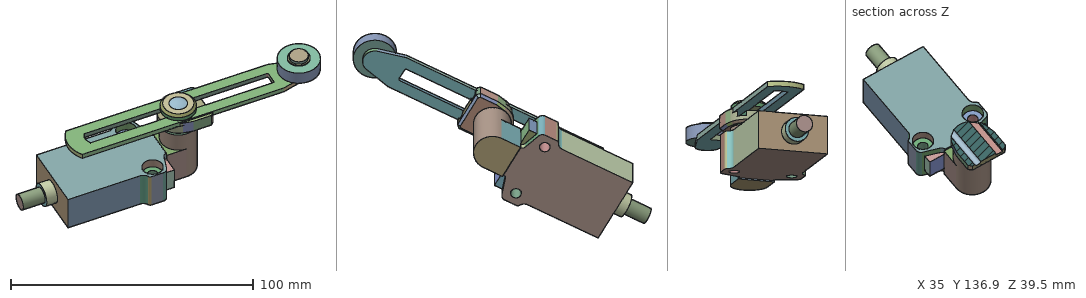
import cadquery as cq
import math


overall_length = 136.9

body_width = 30.0
body_back_y = -9.0
body_front_y = -57.8
body_bottom_z = 0.5
body_top_z = 16.5
body_mid_z = (body_bottom_z + body_top_z) / 2
spine_width = 14.8
spine_root_y = -10.3
spine_round = 1.6
tongue_height = 9.9

ear_span = 35.0
ear_back_y = -13.5
ear_front_y = -21.5
ear_root_y = -22.7
ear_back_round = 2.3
ear_front_round = 1.2
ear_root_round = 3.1
mount_hole_diameter = 4.4
mount_bore_diameter = 8.8
mount_bore_depth = 4.0
mount_x = 12.5
mount_y = -17.8

gland_diameter = 10.1
gland_end_y = -62.7
cable_diameter = 7.0
cable_end_y = -72.7

head_diameter = 15.7
neck_top_z = 15.7
head_chamfer = 0.8

clamp_bottom_z = 25.0
clamp_top_z = 31.6
clamp_width = 18.9
clamp_back_y = 12.0
clamp_flank_y = 2.5
clamp_nose_radius = 8.8
clamp_corner = 1.4
channel_clearance = 0.3
clamp_edge = 1.1
groove_width = 3.1
groove_depth = 2.0
groove_x = 5.3
round_groove_drop = 0.4

lever_width = 15.7
lever_thickness = 2.2
lever_bottom_z = 29.8
lever_top_z = lever_bottom_z + lever_thickness
lever_taper_y = 44.8
lever_tip_radius = 5.0
lever_heel_y = -47.8
lever_heel_sag = 2.6
slot_width = 6.0
slot_back_y = 42.6
slot_back_round = 0.7
slot_front_y = -41.6
slot_front_sag = 1.0

screw_diameter = 15.0
screw_top_z = 34.9
screw_chamfer = 1.1
dome_diameter = 7.7
dome_height = 0.8

roller_diameter = 18.0
roller_y = cable_end_y + overall_length - roller_diameter / 2
roller_top_z = 37.8
pin_diameter = 8.0
pin_collar_diameter = 9.5
pin_collar_height = 0.4
pin_top_z = 39.5


def cylinder(diameter, bottom_z, top_z, y=0):
    base = cq.Workplane("XY", origin=(0, y, bottom_z))
    return base.circle(diameter / 2).extrude(top_z - bottom_z)


def block(width, y_min, y_max, z_min, z_max):
    base = cq.Workplane("XY", origin=(0, (y_min + y_max) / 2, z_min))
    return base.rect(width, y_max - y_min).extrude(z_max - z_min)


def tangent_point(corner_x, corner_y, radius, centre_y, toward):
    """Point where a line from the corner touches a circle centred on X = 0.

    toward picks the contact point: +1 turns counterclockwise from the corner, -1 clockwise.
    """
    rise = corner_y - centre_y
    spread = math.acos(radius / math.hypot(corner_x, rise))
    angle = math.atan2(rise, corner_x) + toward * spread
    return radius * math.cos(angle), centre_y + radius * math.sin(angle)


def make_housing():
    half = body_width / 2
    ear = ear_span / 2
    spine = spine_width / 2
    outline = [
        (-half, body_front_y),
        (half, body_front_y),
        (half, ear_root_y),
        (ear, ear_front_y),
        (ear, ear_back_y),
        (spine, spine_root_y),
        (spine, body_back_y),
        (-spine, body_back_y),
        (-spine, spine_root_y),
        (-ear, ear_back_y),
        (-ear, ear_front_y),
        (-half, ear_root_y),
    ]
    base = cq.Workplane("XY", origin=(0, 0, body_bottom_z))
    shell = base.polyline(outline).close().extrude(body_top_z - body_bottom_z)
    rounded_corners = [
        (half, ear_root_y, ear_root_round),
        (ear, ear_front_y, ear_front_round),
        (ear, ear_back_y, ear_back_round),
        (spine, spine_root_y, spine_round),
    ]
    for x, y, radius in rounded_corners:
        for side in (-1, 1):
            corner = cq.selectors.NearestToPointSelector((side * x, y, body_mid_z))
            shell = shell.edges("|Z").edges(corner).fillet(radius)
    tongue_low = body_mid_z - tongue_height / 2
    tongue = block(body_width, mount_y, body_back_y, tongue_low, tongue_low + tongue_height)
    return (
        shell.union(tongue)
        .faces(">Z")
        .workplane(origin=(0, 0, body_top_z))
        .pushPoints([(-mount_x, mount_y), (mount_x, mount_y)])
        .cboreHole(mount_hole_diameter, mount_bore_diameter, mount_bore_depth)
    )


def make_cable_outlet():
    def rod(diameter, end_y):
        start = cq.Workplane("XZ", origin=(0, body_front_y, body_mid_z))
        return start.circle(diameter / 2).extrude(body_front_y - end_y)

    return rod(gland_diameter, gland_end_y).union(rod(cable_diameter, cable_end_y))


def make_head():
    column = cylinder(head_diameter, 0, clamp_bottom_z).faces(">Z").chamfer(head_chamfer)
    neck = block(head_diameter, body_back_y, 0, 0, neck_top_z)
    return column.union(neck)


def make_clamp():
    half = clamp_width / 2
    nose_x, nose_y = tangent_point(half, clamp_flank_y, clamp_nose_radius, 0, -1)
    clamp = (
        cq.Workplane("XY", origin=(0, 0, clamp_bottom_z))
        .moveTo(half, clamp_back_y)
        .lineTo(half, clamp_flank_y)
        .lineTo(nose_x, nose_y)
        .threePointArc((0, -clamp_nose_radius), (-nose_x, nose_y))
        .lineTo(-half, clamp_flank_y)
        .lineTo(-half, clamp_back_y)
        .close()
        .extrude(clamp_top_z - clamp_bottom_z)
        .edges("|Z and >Y")
        .chamfer(clamp_corner)
        .faces("<Z")
        .chamfer(clamp_edge)
    )
    cut_reach = clamp_width
    channel_width = lever_width + 2 * channel_clearance
    channel = block(channel_width, -cut_reach, cut_reach, lever_bottom_z, clamp_top_z)
    square_groove = block(
        groove_width, -cut_reach, cut_reach, lever_bottom_z - groove_depth, lever_bottom_z
    ).translate((-groove_x, 0, 0))
    round_groove = (
        cq.Workplane("XZ", origin=(groove_x, 0, lever_bottom_z - round_groove_drop))
        .circle(groove_width / 2)
        .extrude(cut_reach, both=True)
    )
    return clamp.cut(channel).cut(square_groove).cut(round_groove)


def make_lever():
    half = lever_width / 2
    tip_x, tip_y = tangent_point(half, lever_taper_y, lever_tip_radius, roller_y, 1)
    plate = (
        cq.Workplane("XY", origin=(0, 0, lever_bottom_z))
        .moveTo(half, lever_heel_y)
        .lineTo(half, lever_taper_y)
        .lineTo(tip_x, tip_y)
        .threePointArc((0, roller_y + lever_tip_radius), (-tip_x, tip_y))
        .lineTo(-half, lever_taper_y)
        .lineTo(-half, lever_heel_y)
        .threePointArc((0, lever_heel_y - lever_heel_sag), (half, lever_heel_y))
        .close()
        .extrude(lever_thickness)
    )
    slot = (
        cq.Workplane("XY", origin=(0, 0, lever_bottom_z))
        .moveTo(slot_width / 2, slot_front_y)
        .lineTo(slot_width / 2, slot_back_y)
        .lineTo(-slot_width / 2, slot_back_y)
        .lineTo(-slot_width / 2, slot_front_y)
        .threePointArc((0, slot_front_y - slot_front_sag), (slot_width / 2, slot_front_y))
        .close()
        .extrude(lever_thickness)
        .edges("|Z and >Y")
        .fillet(slot_back_round)
    )
    return plate.cut(slot)


def make_screw():
    screw = cylinder(screw_diameter, lever_top_z, screw_top_z).faces(">Z").chamfer(screw_chamfer)
    dome_radius = dome_diameter / 2
    sphere_radius = (dome_radius**2 + dome_height**2) / (2 * dome_height)
    dome = (
        cq.Workplane("XZ", origin=(0, 0, screw_top_z))
        .lineTo(dome_radius, 0)
        .radiusArc((0, dome_height), -sphere_radius)
        .close()
        .revolve(360, (0, 0, 0), (0, 1, 0))
    )
    return screw.union(dome)


def make_roller():
    collar_top_z = roller_top_z + pin_collar_height
    wheel = cylinder(roller_diameter, lever_top_z, roller_top_z, roller_y)
    collar = cylinder(pin_collar_diameter, roller_top_z, collar_top_z, roller_y)
    pin = cylinder(pin_diameter, roller_top_z, pin_top_z, roller_y)
    return wheel.union(collar).union(pin)


result = make_housing()
for feature in (
    make_cable_outlet(),
    make_head(),
    make_clamp(),
    make_lever(),
    make_screw(),
    make_roller(),
):
    result = result.union(feature)